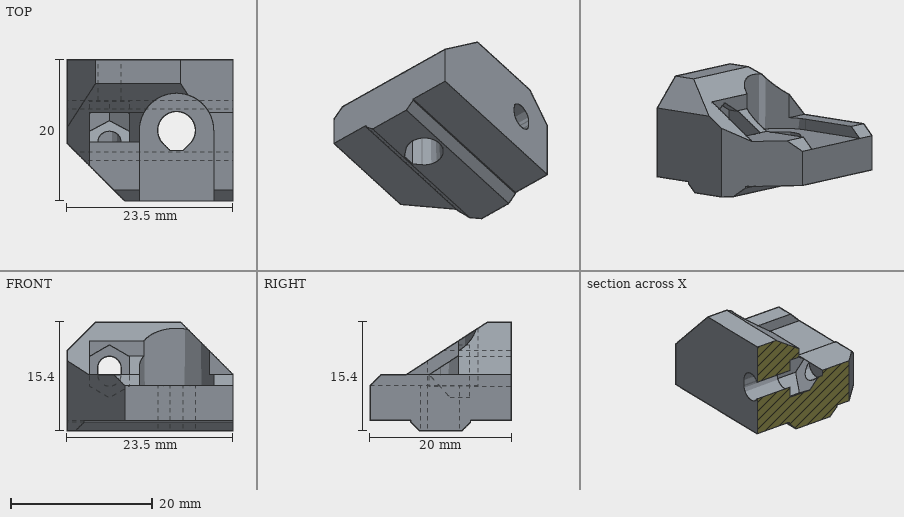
import cadquery as cq
import math

length = 23.5
depth = 20.0
height = 15.4
middle_y = depth / 2

body_bottom = 1.45
ledge_z = 7.95
front_chamfer = 1.55
slope_foot_y = 5.1
slope_top_y = 16.64
slope = (height - ledge_z) / (slope_top_y - slope_foot_y)

key_width = 8.5
key_chamfer = 1.22

corner_cut = 8.15
left_chamfer = 4.02
right_chamfer = height - ledge_z

step_left_x = 3.15
step_back_y = 12.5
ramp_foot_y = 8.37

slot_x = 15.49
slot_radius = 5.26
slot_floor_z = ledge_z - front_chamfer
hole_radius = 2.65
teardrop_reach = 2.85

nut_flats = 5.66
nut_radius = nut_flats / math.sqrt(3)
bolt_x = step_left_x + nut_flats / 2
bolt_radius = 1.65
bolt_low_z = ledge_z
bolt_high_z = 8.88
nut_back_y = 14.1
lead_in_run = 0.92


def extrude_along_x(points, x_start, x_end):
    """Prism with a (Y, Z) outline."""
    outline = cq.Workplane("YZ").workplane(offset=x_start).polyline(points).close()
    return outline.extrude(x_end - x_start)


def extrude_along_y(points, y_start, y_end):
    """Prism with an (X, Z) outline."""
    outline = cq.Workplane("XZ").workplane(offset=-y_start).polyline(points).close()
    return outline.extrude(y_start - y_end)


def make_body():
    key_front = middle_y - key_width / 2
    key_back = middle_y + key_width / 2
    body = extrude_along_x(
        [
            (0, body_bottom),
            (key_front, body_bottom),
            (key_front, key_chamfer),
            (key_front + key_chamfer, 0),
            (key_back - key_chamfer, 0),
            (key_back, key_chamfer),
            (key_back, body_bottom),
            (depth, body_bottom),
            (depth, height),
            (slope_top_y, height),
            (slope_foot_y, ledge_z),
            (front_chamfer, ledge_z),
            (0, ledge_z - front_chamfer),
        ],
        0,
        length,
    )
    corner = cq.Workplane("XY").polyline([(0, 0), (corner_cut, 0), (0, corner_cut)]).close().extrude(height)
    left = extrude_along_y([(0, height), (left_chamfer, height), (0, height - left_chamfer)], 0, depth)
    right = extrude_along_y(
        [(length, height), (length - right_chamfer, height), (length, height - right_chamfer)], 0, depth
    )
    return body.cut(corner).cut(left).cut(right)


def make_step():
    """Step with a ramp at the back left of the slot and a level floor to its right."""
    ramp_top_z = ledge_z + slope * (step_back_y - ramp_foot_y)
    left = extrude_along_x(
        [
            (0, ledge_z),
            (ramp_foot_y, ledge_z),
            (step_back_y, ramp_top_z),
            (step_back_y, height),
            (0, height),
        ],
        step_left_x,
        slot_x,
    )
    right = extrude_along_x(
        [(0, ledge_z), (step_back_y, ledge_z), (step_back_y, height), (0, height)], slot_x, length
    )
    return left.union(right)


def make_screw_cut():
    slot = (
        cq.Workplane("XY", origin=(slot_x, middle_y, slot_floor_z))
        .moveTo(-slot_radius, -middle_y)
        .lineTo(-slot_radius, 0)
        .threePointArc((0, slot_radius), (slot_radius, 0))
        .lineTo(slot_radius, -middle_y)
        .close()
        .extrude(height)
    )
    tangent = hole_radius / math.sqrt(2)
    flat_half_width = 2 * tangent - teardrop_reach
    hole = (
        cq.Workplane("XY", origin=(slot_x, middle_y, 0))
        .moveTo(-tangent, -tangent)
        .threePointArc((0, hole_radius), (tangent, -tangent))
        .lineTo(flat_half_width, -teardrop_reach)
        .lineTo(-flat_half_width, -teardrop_reach)
        .close()
        .extrude(height)
    )
    return slot.union(hole)


def make_bolt_cut():
    half_flats = nut_flats / 2
    lowest_z = bolt_low_z - nut_radius
    highest_z = bolt_high_z + nut_radius
    nut = extrude_along_y(
        [
            (bolt_x, lowest_z),
            (bolt_x + half_flats, bolt_low_z - nut_radius / 2),
            (bolt_x + half_flats, bolt_high_z + nut_radius / 2),
            (bolt_x, highest_z),
            (bolt_x - half_flats, bolt_high_z + nut_radius / 2),
            (bolt_x - half_flats, bolt_low_z - nut_radius / 2),
        ],
        0,
        nut_back_y,
    )
    lead_in = extrude_along_x(
        [
            (ramp_foot_y, ledge_z),
            (ramp_foot_y + lead_in_run * (ledge_z - lowest_z), lowest_z),
            (nut_back_y, lowest_z),
            (nut_back_y, highest_z),
            (ramp_foot_y, highest_z),
        ],
        0,
        length,
    )
    bolt = (
        cq.Workplane("XZ", origin=(bolt_x, depth, 0))
        .moveTo(-bolt_radius, bolt_low_z)
        .lineTo(-bolt_radius, bolt_high_z)
        .threePointArc((0, bolt_high_z + bolt_radius), (bolt_radius, bolt_high_z))
        .lineTo(bolt_radius, bolt_low_z)
        .threePointArc((0, bolt_low_z - bolt_radius), (-bolt_radius, bolt_low_z))
        .close()
        .extrude(depth - ramp_foot_y)
    )
    return nut.intersect(lead_in).union(bolt)


result = make_body().cut(make_step()).cut(make_screw_cut()).cut(make_bolt_cut())